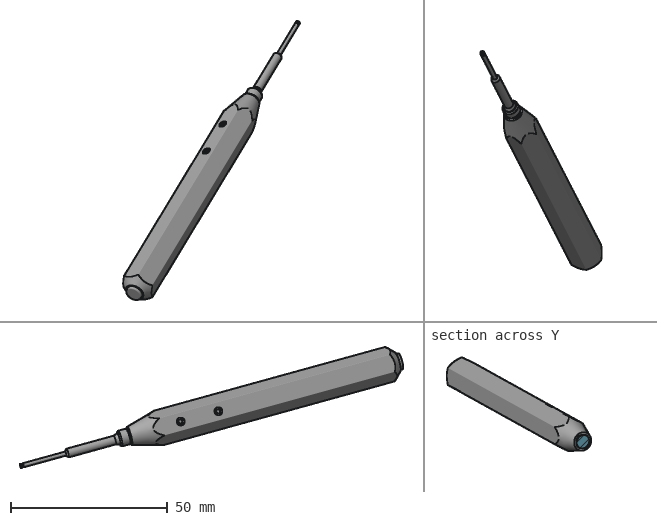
import cadquery as cq
import math

length = 127.5
across_flats = 10.0
corner_fillet = 0.1

half_sector = 30.0
hexagon_spread = 1 / math.cos(math.radians(half_sector))
flat_distance = across_flats / 2
corner_distance = flat_distance * hexagon_spread

button_radius = 2.7
button_fillet = 0.4
button_length = 1.0
butt_cone_radius = 3.0

nose_end = 90.9
nose_radius = 3.0
nose_half_angle = 15.0

neck_radius = 2.3
neck_length = 0.5
neck_end = nose_end + neck_length
collar_radius = 5.2 / 2
collar_end = 94.6
collar_chamfer = 0.5
shoulder_radius = 1.9
shoulder_end = 95.9
sleeve_radius = 2.9 / 2
sleeve_end = 112.3
sleeve_chamfer = 0.6

rod_radius = 0.7
groove_radius = 0.3
groove_length = 0.6
tip_length = 0.32

screw_places = (74.6, 62.0)
screw_radius = 1.3
screw_sink = 0.1
socket_across_flats = 1.3
socket_depth = 1.3
socket_turn = half_sector
flat_tilt = half_sector


def cylinder(radius, start, end):
    """Round bar about the Y axis."""
    return cq.Workplane("XZ", origin=(0, start, 0)).circle(radius).extrude(start - end)


def make_handle():
    """Hexagonal bar trimmed by a cone at each end."""
    bar = (
        cq.Workplane("XZ", origin=(0, button_length, 0))
        .polygon(6, 2 * corner_distance)
        .extrude(button_length - nose_end)
        .edges("|Y")
        .fillet(corner_fillet)
        .rotate((0, 0, 0), (0, 1, 0), half_sector)
    )
    butt_cone_end = button_length + corner_distance - butt_cone_radius
    nose_length = (corner_distance - nose_radius) / math.tan(math.radians(nose_half_angle))
    envelope = (
        cq.Workplane("YZ")
        .moveTo(button_length, 0)
        .lineTo(button_length, butt_cone_radius)
        .lineTo(butt_cone_end, corner_distance)
        .lineTo(nose_end - nose_length, corner_distance)
        .lineTo(nose_end, nose_radius)
        .lineTo(nose_end, 0)
        .close()
        .revolve(360, (0, 0, 0), (1, 0, 0))
    )
    return bar.intersect(envelope)


def make_button():
    """Round button with a rounded rim closing the butt end."""
    return cylinder(button_radius, 0, button_length).faces("<Y").edges().fillet(button_fillet)


def make_shank():
    """Neck, chamfered collar, tapered shoulder and chamfered sleeve."""
    neck = cylinder(neck_radius, nose_end, neck_end)
    collar = cylinder(collar_radius, neck_end, collar_end).faces(">Y").chamfer(collar_chamfer)
    sleeve = cylinder(sleeve_radius, collar_end, sleeve_end).faces(">Y").chamfer(sleeve_chamfer)
    shoulder = (
        cq.Workplane("YZ")
        .moveTo(collar_end, 0)
        .lineTo(collar_end, shoulder_radius)
        .lineTo(shoulder_end, sleeve_radius)
        .lineTo(shoulder_end, 0)
        .close()
        .revolve(360, (0, 0, 0), (1, 0, 0))
    )
    return neck.union(collar).union(shoulder).union(sleeve)


def make_rod():
    """Thin rod, grooved to leave a small disc at its tip."""
    groove_end = length - tip_length
    groove_start = groove_end - groove_length
    return (
        cylinder(rod_radius, sleeve_end, groove_start)
        .union(cylinder(groove_radius, groove_start, groove_end))
        .union(cylinder(rod_radius, groove_end, length))
    )


def make_screw_recess(y):
    """Shallow round recess with a hexagon socket, sunk in the upper left flat."""
    flat = cq.Workplane("XY", origin=(0, y, flat_distance))
    recess = flat.circle(screw_radius).extrude(-screw_sink)
    socket = (
        flat.polygon(6, socket_across_flats * hexagon_spread)
        .extrude(-socket_depth)
        .rotate((0, y, 0), (0, y, 1), socket_turn)
    )
    return recess.union(socket).rotate((0, 0, 0), (0, 1, 0), -flat_tilt)


result = make_handle().union(make_button()).union(make_shank()).union(make_rod())
for place in screw_places:
    result = result.cut(make_screw_recess(place))